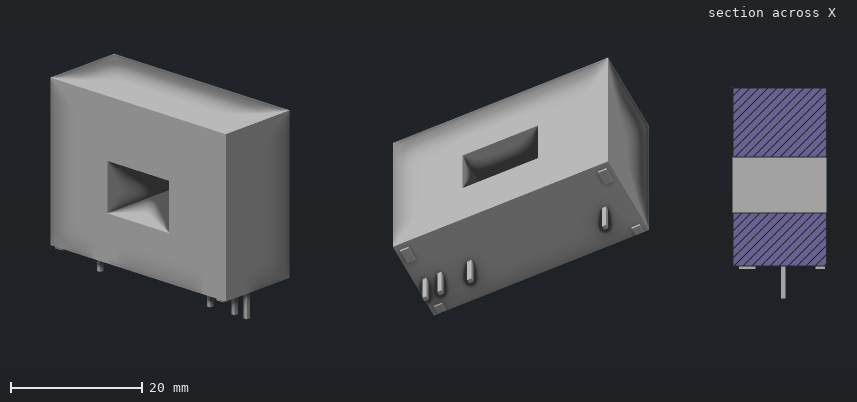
import cadquery as cq

LENGTH = 36.5
WIDTH = 14.3
OVERALL_HEIGHT = 32.1
PIN_LENGTH = 4.9
HOUSING_HEIGHT = OVERALL_HEIGHT - PIN_LENGTH

WINDOW_LENGTH = 12.8
WINDOW_HEIGHT = 8.5
WINDOW_CENTER_Z = 12.4

PITCH = 2.54
PIN_SIZE = 0.7
PIN_ROW_Y = -0.6
PIN_GRID_STEPS = (-5.5, 3.5, 5.5, 6.5)

FOOT_HEIGHT = 0.4
FOOT_LENGTH = 1.4
FOOT_CENTER_X = 16.77
FRONT_FOOT_WIDTH = 1.4
FRONT_FOOT_CENTER_Y = -6.2
REAR_FOOT_WIDTH = 2.5
REAR_FOOT_CENTER_Y = 4.9

EMBED = 0.5


def make_housing():
    body = cq.Workplane("XY").box(LENGTH, WIDTH, HOUSING_HEIGHT, centered=(True, True, False))
    window = cq.Workplane("XY").box(WINDOW_LENGTH, WIDTH, WINDOW_HEIGHT)
    return body.cut(window.translate((0, 0, WINDOW_CENTER_Z)))


def hanging_block(x, y, length, width, drop):
    """Rectangular block projecting below the housing underside by the given drop."""
    block = cq.Workplane("XY").box(length, width, drop + EMBED, centered=(True, True, False))
    return block.translate((x, y, -drop))


def add_pins(part):
    for step in PIN_GRID_STEPS:
        part = part.union(hanging_block(step * PITCH, PIN_ROW_Y, PIN_SIZE, PIN_SIZE, PIN_LENGTH))
    return part


def add_feet(part):
    for x in (-FOOT_CENTER_X, FOOT_CENTER_X):
        part = part.union(
            hanging_block(x, FRONT_FOOT_CENTER_Y, FOOT_LENGTH, FRONT_FOOT_WIDTH, FOOT_HEIGHT)
        )
        part = part.union(
            hanging_block(x, REAR_FOOT_CENTER_Y, FOOT_LENGTH, REAR_FOOT_WIDTH, FOOT_HEIGHT)
        )
    return part


result = add_feet(add_pins(make_housing()))